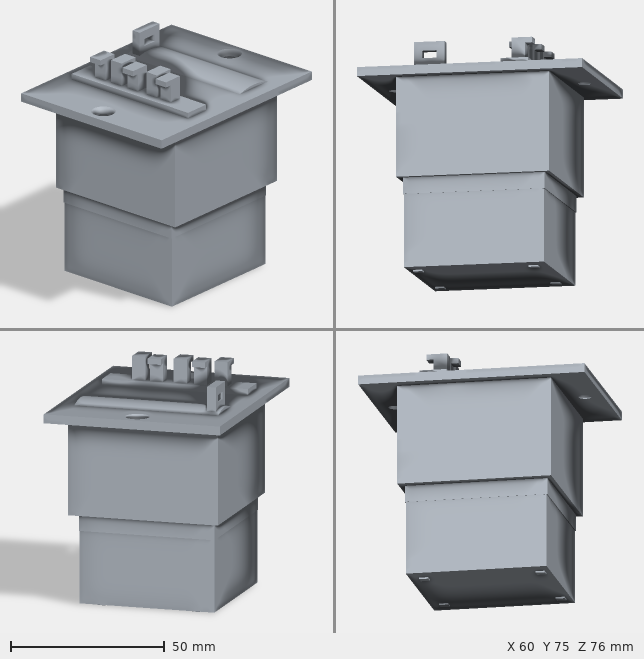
import cadquery as cq

PLATE_X = 60.0
PLATE_Y = 75.0
PLATE_THICKNESS = 3.0

HOLE_DIAMETER = 4.3
COUNTERSINK_DIAMETER = 8.0
COUNTERSINK_ANGLE = 90
HOLE_SPACING = 63.0

UPPER_SIDE = 51.0
UPPER_HEIGHT = 32.9
COLLAR_X = 46.1
COLLAR_Y = 47.3
COLLAR_HEIGHT = 5.4
LOWER_X = 45.9
LOWER_Y = 46.7
LOWER_CENTER_X = -0.7

FOOT_X = 2.65
FOOT_Y = 3.05
FOOT_HEIGHT = 0.5
FOOT_SPACING_X = 32.15
FOOT_SPACING_Y = 38.6
FOOT_CENTER_Y = 0.75

PAD_X = 49.0
PAD_Y = 13.8
PAD_RISE = 1.2
PAD_CENTER_Y = 15.0

TAB_THICKNESS = 3.05
TAB_WIDTH = 10.0
TAB_HEIGHT = 8.75
TAB_INSET = 1.45
WINDOW_WIDTH = 4.9
WINDOW_HEIGHT = 2.4
WINDOW_SILL = 3.35

STRIP_X = 49.7
STRIP_Y = 9.05
STRIP_HEIGHT = 2.05
STRIP_CENTER_Y = -13.75

KEY_WIDTH = 4.5
KEY_HEAD_LENGTH = 6.9
KEY_HEAD_THICKNESS = 1.8
KEY_CENTER_Y = -13.3

TOTAL_HEIGHT = 76
PLATE_BOTTOM = -PLATE_THICKNESS
UPPER_BOTTOM = PLATE_BOTTOM - UPPER_HEIGHT
COLLAR_BOTTOM = UPPER_BOTTOM - COLLAR_HEIGHT
KEY_TOP = 10.0
FOOT_BOTTOM = KEY_TOP - TOTAL_HEIGHT
LOWER_BOTTOM = FOOT_BOTTOM + FOOT_HEIGHT

KEYS = [(-15.05, -1), (-8.1, 1), (-1.2, -1), (6.9, 1), (12.9, -1)]


def block(size_x, size_y, bottom, top, center=(0, 0)):
    """Upright block between two heights, centred at an XY point."""
    return (
        cq.Workplane("XY", origin=(center[0], center[1], bottom))
        .rect(size_x, size_y)
        .extrude(top - bottom)
    )


def make_plate():
    return (
        block(PLATE_X, PLATE_Y, PLATE_BOTTOM, 0)
        .faces(">Z")
        .workplane()
        .pushPoints([(0, HOLE_SPACING / 2), (0, -HOLE_SPACING / 2)])
        .cskHole(HOLE_DIAMETER, COUNTERSINK_DIAMETER, COUNTERSINK_ANGLE)
    )


def make_housing():
    lower_center = (LOWER_CENTER_X, 0)
    upper = block(UPPER_SIDE, UPPER_SIDE, UPPER_BOTTOM, PLATE_BOTTOM)
    collar = block(COLLAR_X, COLLAR_Y, COLLAR_BOTTOM, UPPER_BOTTOM, lower_center)
    lower = block(LOWER_X, LOWER_Y, LOWER_BOTTOM, COLLAR_BOTTOM, lower_center)
    feet = (
        cq.Workplane("XY", origin=(LOWER_CENTER_X, FOOT_CENTER_Y, FOOT_BOTTOM))
        .rarray(FOOT_SPACING_X, FOOT_SPACING_Y, 2, 2)
        .rect(FOOT_X, FOOT_Y)
        .extrude(FOOT_HEIGHT)
    )
    return upper.union(collar).union(lower).union(feet)


def make_pad():
    """Circular-segment section, swept along X."""
    return (
        cq.Workplane("YZ", origin=(-PAD_X / 2, PAD_CENTER_Y, 0))
        .moveTo(-PAD_Y / 2, 0)
        .threePointArc((0, PAD_RISE), (PAD_Y / 2, 0))
        .close()
        .extrude(PAD_X)
    )


def make_tab():
    center = (-PAD_X / 2 + TAB_INSET + TAB_THICKNESS / 2, PAD_CENTER_Y)
    window_top = WINDOW_SILL + WINDOW_HEIGHT
    tab = block(TAB_THICKNESS, TAB_WIDTH, 0, TAB_HEIGHT, center)
    window = block(TAB_THICKNESS, WINDOW_WIDTH, WINDOW_SILL, window_top, center)
    return tab.cut(window)


def make_key(center_x, overhang_direction):
    head_bottom = KEY_TOP - KEY_HEAD_THICKNESS
    head_shift = overhang_direction * (KEY_HEAD_LENGTH - KEY_WIDTH) / 2
    head_center = (center_x, KEY_CENTER_Y + head_shift)
    stem = block(KEY_WIDTH, KEY_WIDTH, STRIP_HEIGHT, KEY_TOP, (center_x, KEY_CENTER_Y))
    head = block(KEY_WIDTH, KEY_HEAD_LENGTH, head_bottom, KEY_TOP, head_center)
    return stem.union(head)


result = make_plate().union(make_housing()).union(make_pad()).union(make_tab())
result = result.union(block(STRIP_X, STRIP_Y, 0, STRIP_HEIGHT, (0, STRIP_CENTER_Y)))
for key_x, direction in KEYS:
    result = result.union(make_key(key_x, direction))